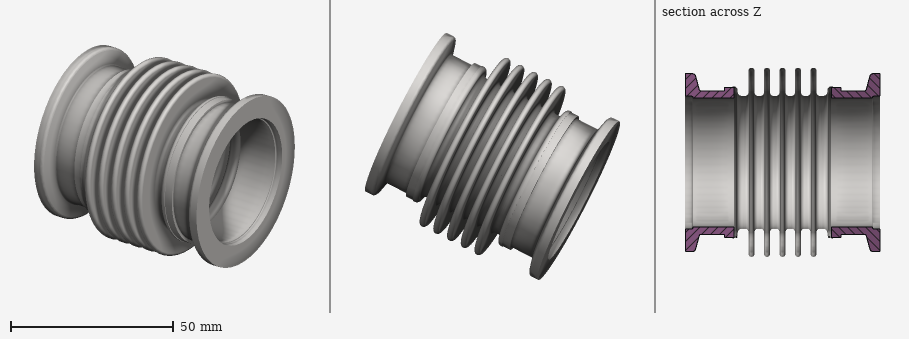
import cadquery as cq
import math

TOTAL_LENGTH = 60.0
END_X = TOTAL_LENGTH / 2

CONVOLUTION_COUNT = 5
BELLOWS_SPAN = 23.9
PITCH = BELLOWS_SPAN / CONVOLUTION_COUNT
WALL = 0.25
CREST_RADIUS = 29.15
VALLEY_RADIUS = 20.5
FIN_HALF_WIDTH = 0.95
ROOT_FILLET = 0.95

CUFF_RADIUS = 23.4
CUFF_WALL_X = 13.8
CUFF_BEND = 1.2
CUFF_LIP_X = 15.5

FLANGE_RADIUS = 27.5
FLANGE_RIM = 3.0
TAPER_ANGLE = 15.0
RIM_ROUND = 1.0
TUBE_RADIUS = 22.2
TUBE_FILLET = 0.5
COLLAR_X = 18.0
COLLAR_RADIUS = CUFF_RADIUS - WALL
COLLAR_END_X = CUFF_WALL_X + CUFF_BEND
BORE_RADIUS = 19.85
RECESS_RADIUS = 20.4
RECESS_DEPTH = 2.2
RECESS_FILLET = 0.3


def arc_middle(center_x, center_r, radius, x_side, r_side):
    """Point halfway along a quarter arc, on the given side of its centre."""
    reach = radius * math.sqrt(0.5)
    return (center_x + x_side * reach, center_r + r_side * reach)


def revolve_about_x(profile):
    return profile.close().revolve(360, (0, 0, 0), (1, 0, 0))


def circle_near(x):
    """Selector for the circular edge centred on the axis at x."""
    return cq.selectors.BoxSelector((x - 0.05, -0.05, -0.05), (x + 0.05, 0.05, 0.05))


def convolution_form(inset):
    """Solid round form of one convolution, its skin shrunk inward by inset."""
    edge = PITCH / 2
    valley = VALLEY_RADIUS - inset
    half_width = FIN_HALF_WIDTH - inset
    crest = CREST_RADIUS - inset
    fillet = ROOT_FILLET + inset
    root_x = half_width + fillet
    root_r = valley + fillet
    shoulder_r = crest - half_width
    profile = (
        cq.Workplane("XY")
        .moveTo(-edge, 0)
        .lineTo(-edge, valley)
        .lineTo(-root_x, valley)
        .threePointArc(arc_middle(-root_x, root_r, fillet, 1, -1), (-half_width, root_r))
        .lineTo(-half_width, shoulder_r)
        .threePointArc(arc_middle(0, shoulder_r, half_width, -1, 1), (0, crest))
        .threePointArc(arc_middle(0, shoulder_r, half_width, 1, 1), (half_width, shoulder_r))
        .lineTo(half_width, root_r)
        .threePointArc(arc_middle(root_x, root_r, fillet, -1, -1), (root_x, valley))
        .lineTo(edge, valley)
        .lineTo(edge, 0)
    )
    return revolve_about_x(profile)


def cuff_form(inset):
    """Solid round form of the left end cuff, its skin shrunk inward by inset."""
    valley = VALLEY_RADIUS - inset
    outer = CUFF_RADIUS - inset
    wall_x = -CUFF_WALL_X - inset
    fillet = CUFF_BEND + inset
    corner = CUFF_BEND - inset
    root_x = wall_x + fillet
    root_r = valley + fillet
    corner_x = wall_x - corner
    corner_r = outer - corner
    profile = (
        cq.Workplane("XY")
        .moveTo(-CUFF_LIP_X, 0)
        .lineTo(-CUFF_LIP_X, outer)
        .lineTo(corner_x, outer)
        .threePointArc(arc_middle(corner_x, corner_r, corner, 1, 1), (wall_x, corner_r))
        .lineTo(wall_x, root_r)
        .threePointArc(arc_middle(root_x, root_r, fillet, -1, -1), (root_x, valley))
        .lineTo(-BELLOWS_SPAN / 2, valley)
        .lineTo(-BELLOWS_SPAN / 2, 0)
    )
    return revolve_about_x(profile)


def make_convolution(center_x):
    shell = convolution_form(0).cut(convolution_form(WALL))
    return shell.translate((center_x, 0, 0))


def make_left_cuff():
    return cuff_form(0).cut(cuff_form(WALL))


def make_left_flange():
    taper_start_x = -END_X + FLANGE_RIM
    taper_run = (FLANGE_RADIUS - TUBE_RADIUS) * math.tan(math.radians(TAPER_ANGLE))
    taper_end_x = taper_start_x + taper_run
    profile = (
        cq.Workplane("XY")
        .moveTo(-END_X, 0)
        .lineTo(-END_X, FLANGE_RADIUS)
        .lineTo(taper_start_x, FLANGE_RADIUS)
        .lineTo(taper_end_x, TUBE_RADIUS)
        .lineTo(-COLLAR_X, TUBE_RADIUS)
        .lineTo(-COLLAR_X, COLLAR_RADIUS)
        .lineTo(-COLLAR_END_X, COLLAR_RADIUS)
        .lineTo(-COLLAR_END_X, 0)
    )
    body = revolve_about_x(profile)
    body = body.edges(circle_near(taper_start_x)).fillet(RIM_ROUND)
    body = body.edges(circle_near(taper_end_x)).fillet(TUBE_FILLET)
    floor_x = -END_X + RECESS_DEPTH
    fillet_x = floor_x - RECESS_FILLET
    fillet_r = RECESS_RADIUS - RECESS_FILLET
    opening_profile = (
        cq.Workplane("XY")
        .moveTo(-END_X, 0)
        .lineTo(-END_X, RECESS_RADIUS)
        .lineTo(fillet_x, RECESS_RADIUS)
        .threePointArc(arc_middle(fillet_x, fillet_r, RECESS_FILLET, 1, 1), (floor_x, fillet_r))
        .lineTo(floor_x, BORE_RADIUS)
        .lineTo(-COLLAR_END_X, BORE_RADIUS)
        .lineTo(-COLLAR_END_X, 0)
    )
    return body.cut(revolve_about_x(opening_profile))


left_flange = make_left_flange()
right_flange = left_flange.mirror("YZ")
left_cuff = make_left_cuff()
right_cuff = left_cuff.mirror("YZ")
convolutions = [
    make_convolution((index - (CONVOLUTION_COUNT - 1) / 2) * PITCH)
    for index in range(CONVOLUTION_COUNT)
]

result = cq.Compound.makeCompound(
    [left_flange.val(), right_flange.val(), left_cuff.val(), right_cuff.val()]
    + [convolution.val() for convolution in convolutions]
)